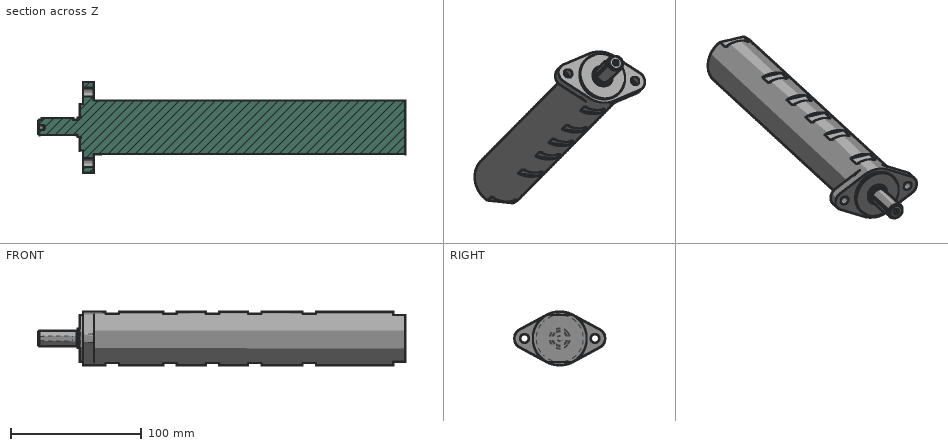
import cadquery as cq
import math

TOTAL_LENGTH = 281.7
BODY_DIA = 41.5
BODY_RADIUS = BODY_DIA / 2

SHAFT_DIA = 12.0
SHAFT_CHAMFER = 1.0
SHAFT_END = 29.3
CENTRE_HOLE_DIA = 3.5
CENTRE_HOLE_DEPTH = 4.2
CENTRE_HOLE_MOUTH_DIA = 4.5
DRILL_POINT_ANGLE = 118.0

NECK_DIA = 11.5
COLLAR_DIA = 15.0
COLLAR_START = 30.1
RECESS_DIA = 16.0
RECESS_DEPTH = 0.8

KEY_START = 2.5
KEY_END = 27.0
KEY_WIDTH = 4.0
KEY_TOP = 7.3

PILOT_DIA = 36.0
PILOT_START = 31.8
FLANGE_START = 34.5
FLANGE_THICKNESS = 8.5
FLANGE_SPAN = 70.0
EAR_RADIUS = 8.0
BOLT_OFFSET = FLANGE_SPAN / 2 - EAR_RADIUS
BOLT_HOLE_DIA = 6.5

FLAT_LENGTH = 10.1
FLAT_STARTS = (51.8, 96.0, 128.7, 161.0, 202.8)
FLAT_SPACING = 38.0
END_FLAT_START = 272.5
END_FLAT_SPACING = 36.0


def cylinder(start, end, diameter):
    return cq.Workplane("YZ", origin=(start, 0, 0)).circle(diameter / 2).extrude(end - start)


def make_shaft():
    shaft = cylinder(0, SHAFT_END, SHAFT_DIA).faces("<X").chamfer(SHAFT_CHAMFER)
    neck = cylinder(SHAFT_END, PILOT_START + RECESS_DEPTH, NECK_DIA)
    collar = cylinder(COLLAR_START, PILOT_START + RECESS_DEPTH, COLLAR_DIA)
    key = (
        cq.Workplane("XZ")
        .center((KEY_START + KEY_END) / 2, 0)
        .slot2D(KEY_END - KEY_START, KEY_WIDTH)
        .extrude(-KEY_TOP)
    )
    return shaft.union(neck).union(collar).union(key).cut(make_centre_hole())


def make_centre_hole():
    """Drilled hole with a chamfered mouth and a conical bottom, revolved about the X axis."""
    radius = CENTRE_HOLE_DIA / 2
    mouth_radius = CENTRE_HOLE_MOUTH_DIA / 2
    point_length = radius / math.tan(math.radians(DRILL_POINT_ANGLE / 2))
    return (
        cq.Workplane("XY")
        .polyline([
            (0, 0),
            (0, mouth_radius),
            (mouth_radius - radius, radius),
            (CENTRE_HOLE_DEPTH, radius),
            (CENTRE_HOLE_DEPTH + point_length, 0),
        ])
        .close()
        .revolve(360, (0, 0, 0), (1, 0, 0))
    )


def make_flange():
    """Round centre and two round ears joined by their common tangents."""
    sin_tangent = (BODY_RADIUS - EAR_RADIUS) / BOLT_OFFSET
    cos_tangent = math.sqrt(1 - sin_tangent ** 2)
    body_y = BODY_RADIUS * sin_tangent
    body_z = BODY_RADIUS * cos_tangent
    ear_y = BOLT_OFFSET + EAR_RADIUS * sin_tangent
    ear_z = EAR_RADIUS * cos_tangent
    ear_tip = FLANGE_SPAN / 2
    return (
        cq.Workplane("YZ", origin=(FLANGE_START, 0, 0))
        .moveTo(body_y, body_z)
        .lineTo(ear_y, ear_z)
        .threePointArc((ear_tip, 0), (ear_y, -ear_z))
        .lineTo(body_y, -body_z)
        .threePointArc((0, -BODY_RADIUS), (-body_y, -body_z))
        .lineTo(-ear_y, -ear_z)
        .threePointArc((-ear_tip, 0), (-ear_y, ear_z))
        .lineTo(-body_y, body_z)
        .threePointArc((0, BODY_RADIUS), (body_y, body_z))
        .close()
        .pushPoints([(-BOLT_OFFSET, 0), (BOLT_OFFSET, 0)])
        .circle(BOLT_HOLE_DIA / 2)
        .extrude(FLANGE_THICKNESS)
    )


def flat_cutter(start, end, spacing):
    """Material to remove for a pair of flats on the top and bottom of the body."""
    length = end - start
    blank = cq.Workplane("XY").box(length, BODY_DIA, BODY_DIA)
    kept = cq.Workplane("XY").box(length, BODY_DIA, spacing)
    return blank.cut(kept).translate(((start + end) / 2, 0, 0))


def make_body():
    body = cylinder(FLANGE_START, TOTAL_LENGTH, BODY_DIA)
    for start in FLAT_STARTS:
        body = body.cut(flat_cutter(start, start + FLAT_LENGTH, FLAT_SPACING))
    return body.cut(flat_cutter(END_FLAT_START, TOTAL_LENGTH, END_FLAT_SPACING))


def make_pilot():
    pilot = cylinder(PILOT_START, FLANGE_START, PILOT_DIA)
    return pilot.cut(cylinder(PILOT_START, PILOT_START + RECESS_DEPTH, RECESS_DIA))


result = make_body().union(make_flange()).union(make_pilot()).union(make_shaft())